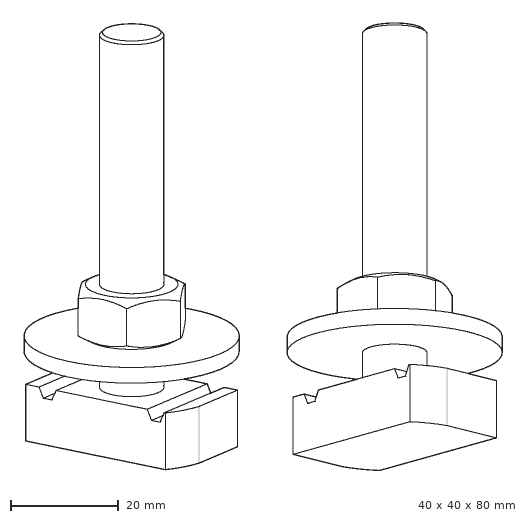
import cadquery as cq
import math

total_height = 80.0
stud_diameter = 12.0
stud_chamfer = 0.6

head_length = 34.4
head_width = 19.5
head_height = 11.0
head_corner_radius = 17.4

groove_offset = 12.2
groove_top_width = 3.8
groove_bottom_width = 1.9
groove_depth = 2.0

washer_diameter = 40.0
washer_thickness = 3.0
washer_bottom = 18.0
washer_top = washer_bottom + washer_thickness

nut_across_flats = 19.0
nut_height = 10.0
nut_face_diameter = 17.2
nut_chamfer_angle = 30.0


def make_stud():
    stud = cq.Workplane("XY").circle(stud_diameter / 2).extrude(total_height)
    return stud.faces(">Z").chamfer(stud_chamfer)


def make_head():
    """Block with two opposite corners rounded so it can turn inside the slot."""
    half_length = head_length / 2
    half_width = head_width / 2
    arc_start_y = math.sqrt(head_corner_radius**2 - half_length**2)
    arc_end_x = math.sqrt(head_corner_radius**2 - half_width**2)
    middle_angle = (math.atan2(arc_start_y, half_length) + math.atan2(half_width, arc_end_x)) / 2
    arc_middle_x = head_corner_radius * math.cos(middle_angle)
    arc_middle_y = head_corner_radius * math.sin(middle_angle)
    head = (
        cq.Workplane("XY")
        .moveTo(-half_length, -half_width)
        .lineTo(arc_end_x, -half_width)
        .threePointArc((arc_middle_x, -arc_middle_y), (half_length, -arc_start_y))
        .lineTo(half_length, half_width)
        .lineTo(-arc_end_x, half_width)
        .threePointArc((-arc_middle_x, arc_middle_y), (-half_length, arc_start_y))
        .close()
        .extrude(head_height)
    )
    for side in (-1, 1):
        head = head.cut(make_groove(side * groove_offset))
    return head


def make_groove(center_x):
    """Trapezoidal cutter running along Y across the head."""
    groove_floor = head_height - groove_depth
    return (
        cq.Workplane("XZ")
        .polyline([
            (center_x - groove_top_width / 2, head_height),
            (center_x - groove_bottom_width / 2, groove_floor),
            (center_x + groove_bottom_width / 2, groove_floor),
            (center_x + groove_top_width / 2, head_height),
        ])
        .close()
        .extrude(head_width, both=True)
    )


def make_washer():
    return cq.Workplane("XY", origin=(0, 0, washer_bottom)).circle(washer_diameter / 2).extrude(washer_thickness)


def make_nut():
    """Hexagonal prism whose corners are trimmed by a cone at each end."""
    across_corners = nut_across_flats / math.cos(math.radians(30))
    corner_radius = across_corners / 2
    face_radius = nut_face_diameter / 2
    slope = math.tan(math.radians(nut_chamfer_angle))
    envelope_radius = corner_radius + 0.8
    chamfer_height = (envelope_radius - face_radius) * slope
    nut_top = washer_top + nut_height

    hexagon = cq.Workplane("XY", origin=(0, 0, washer_top)).polygon(6, across_corners).extrude(nut_height)
    envelope = (
        cq.Workplane("XZ")
        .polyline([
            (0, washer_top),
            (face_radius, washer_top),
            (envelope_radius, washer_top + chamfer_height),
            (envelope_radius, nut_top - chamfer_height),
            (face_radius, nut_top),
            (0, nut_top),
        ])
        .close()
        .revolve(360, (0, 0, 0), (0, 1, 0))
    )
    return hexagon.intersect(envelope)


result = make_stud().union(make_head()).union(make_washer()).union(make_nut())